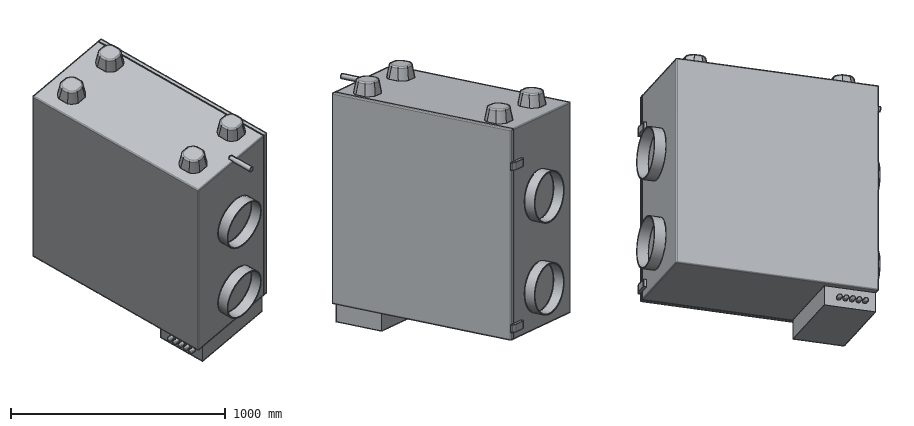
import cadquery as cq

BODY_WIDTH = 1000.0
BODY_DEPTH = 503.0
BODY_HEIGHT = 1032.0
DOOR_THICKNESS = 22.0
EDGE_RADIUS = 5.0
LEFT = -BODY_WIDTH / 2
RIGHT = BODY_WIDTH / 2

COLLAR_DIAMETER = 250.0
COLLAR_WALL = 5.0
COLLAR_LENGTH = 57.0
COLLAR_Y = 266.0
COLLAR_LOWER_Z = 200.0
COLLAR_SPACING = 450.0

FOOT_HEIGHT = 66.0
FOOT_BASE_RADIUS = 66.0
FOOT_TOP_RADIUS = 53.0
FOOT_BASE_FLATS = 121.0
FOOT_TOP_FLATS = 99.0
FOOT_TOP_FILLET = 8.0
FOOT_SIDE_INSET = 134.0
FOOT_FRONT_INSET = 124.0
FOOT_Y_SPACING = 280.0

ROD_DIAMETER = 25.0
ROD_OVERHANG = 100.0
ROD_LENGTH = 130.0
ROD_CHAMFER = 5.0

BOX_WIDTH = 253.0
BOX_DEPTH = 437.0
BOX_HEIGHT = 97.0
BOX_RIGHT_INSET = 4.0
BOX_FRONT_INSET = 35.0
GLAND_COUNT = 5
GLAND_DIAMETER = 23.0
GLAND_LENGTH = 26.0
GLAND_PITCH = 32.0
GLAND_FILLET = 6.0
GLAND_RIGHT_INSET = 54.0
GLAND_HEIGHT = 45.0

HINGE_LENGTH = 92.0
HINGE_HEIGHT = 37.0
HINGE_THICKNESS = 15.0
HINGE_BACK_THICKNESS = 10.0
HINGE_OVERHANG = 4.0
HINGE_BEND = 23.0
HINGE_CHAMFER = 8.0
HINGE_EDGE_THICKNESS = 12
HINGE_LEVELS = (41.0, 835.0)

OVERLAP = 6.0


def cabinet_slice(y_front, depth):
    """Full-width, full-height block of the cabinet with sharp edges."""
    block = cq.Workplane("XY").box(BODY_WIDTH, depth, BODY_HEIGHT, centered=(True, False, False))
    return block.translate((0, y_front, 0))


def collar(side, z):
    """Open duct ring on the left (-1) or right (+1) wall, its floor flush with the wall."""
    return (
        cq.Workplane("YZ", origin=(side * BODY_WIDTH / 2, COLLAR_Y, z))
        .circle(COLLAR_DIAMETER / 2)
        .circle(COLLAR_DIAMETER / 2 - COLLAR_WALL)
        .extrude(side * COLLAR_LENGTH)
    )


def foot(x, y):
    """Truncated cone trimmed by four tapered flats, its top edge rounded."""
    cone = (
        cq.Workplane("XY")
        .circle(FOOT_BASE_RADIUS)
        .workplane(offset=FOOT_HEIGHT)
        .circle(FOOT_TOP_RADIUS)
        .loft()
    )
    flats = (
        cq.Workplane("XY")
        .rect(FOOT_BASE_FLATS, FOOT_BASE_FLATS)
        .workplane(offset=FOOT_HEIGHT)
        .rect(FOOT_TOP_FLATS, FOOT_TOP_FLATS)
        .loft()
    )
    knob = cone.intersect(flats).faces(">Z").edges().fillet(FOOT_TOP_FILLET)
    return knob.translate((x, y, BODY_HEIGHT))


def side_rod():
    """Round rod centred on the top face level, chamfered at its inner end."""
    start = RIGHT + ROD_OVERHANG - ROD_LENGTH
    rod = cq.Workplane("YZ", origin=(start, COLLAR_Y, BODY_HEIGHT)).circle(ROD_DIAMETER / 2)
    return rod.extrude(ROD_LENGTH).faces("<X").chamfer(ROD_CHAMFER)


def control_box():
    """Box hanging below the right end, with its row of glands on the front."""
    right = RIGHT - BOX_RIGHT_INSET
    box = (
        cq.Workplane("XY")
        .box(BOX_WIDTH, BOX_DEPTH, BOX_HEIGHT + OVERLAP, centered=False)
        .translate((right - BOX_WIDTH, BOX_FRONT_INSET, -BOX_HEIGHT))
    )
    gland_z = GLAND_HEIGHT - BOX_HEIGHT
    for i in range(GLAND_COUNT):
        gland_x = right - GLAND_RIGHT_INSET - i * GLAND_PITCH
        gland = (
            cq.Workplane("XZ", origin=(gland_x, BOX_FRONT_INSET, gland_z))
            .circle(GLAND_DIAMETER / 2)
            .extrude(GLAND_LENGTH)
            .faces("<Y")
            .edges()
            .fillet(GLAND_FILLET)
        )
        box = box.union(gland)
    return box


def hinge(z):
    """Plate with a bent rear leaf and a bevelled front end."""
    back = BODY_DEPTH + HINGE_OVERHANG
    front = back - HINGE_LENGTH
    outline = [
        (LEFT, back),
        (LEFT - HINGE_BACK_THICKNESS, back),
        (LEFT - HINGE_THICKNESS, back - HINGE_BEND),
        (LEFT - HINGE_THICKNESS, front + HINGE_CHAMFER),
        (LEFT - HINGE_EDGE_THICKNESS, front),
        (LEFT + OVERLAP, front),
        (LEFT + OVERLAP, back - HINGE_BEND),
        (LEFT, back - HINGE_BEND),
    ]
    return cq.Workplane("XY", origin=(0, 0, z)).polyline(outline).close().extrude(HINGE_HEIGHT)


door_front = BODY_DEPTH - DOOR_THICKNESS
shell = cabinet_slice(0, door_front).edges().fillet(EDGE_RADIUS)
door = cabinet_slice(door_front, DOOR_THICKNESS).edges("|Y or >Y").fillet(EDGE_RADIUS)
result = shell.union(door)

for side in (-1, 1):
    for collar_z in (COLLAR_LOWER_Z, COLLAR_LOWER_Z + COLLAR_SPACING):
        result = result.union(collar(side, collar_z))
    foot_x = side * (BODY_WIDTH / 2 - FOOT_SIDE_INSET)
    for foot_y in (FOOT_FRONT_INSET, FOOT_FRONT_INSET + FOOT_Y_SPACING):
        result = result.union(foot(foot_x, foot_y))

result = result.union(side_rod()).union(control_box())
for hinge_z in HINGE_LEVELS:
    result = result.union(hinge(hinge_z))